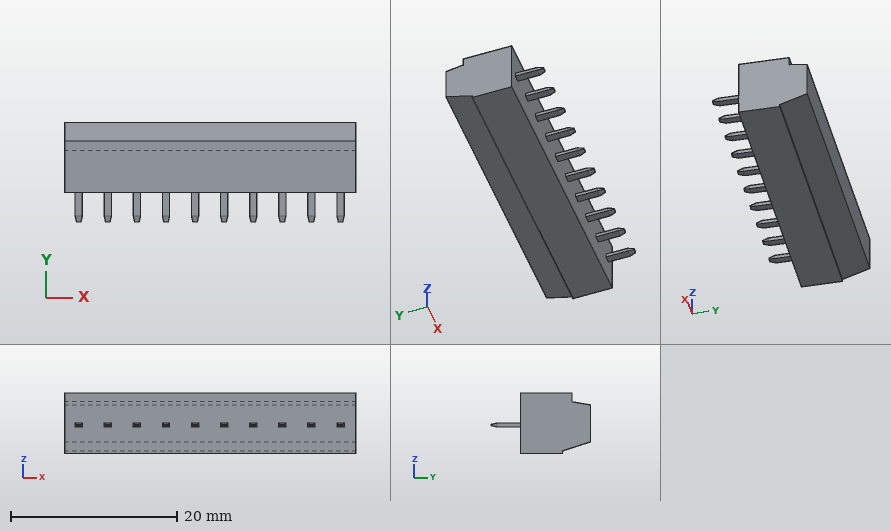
import cadquery as cq

LENGTH = 35.05
DEPTH = 8.45
HEIGHT = 7.29

TOP_STEP_DEPTH = 2.22
TOP_STEP_DROP = 1.05
REAR_TOP_DROP = 1.43

BOTTOM_STEP_DEPTH = 3.38
BOTTOM_STEP_RISE = 0.3
REAR_BOTTOM_RISE = 1.4

PIN_COUNT = 10
PIN_PITCH = 3.5
FIRST_PIN_X = 1.7
PIN_HEIGHT = 3.43
TOTAL_DEPTH = 12.01
PIN_LENGTH = TOTAL_DEPTH - DEPTH
PIN_WIDTH = 0.9
PIN_THICKNESS = 0.5
TIP_LENGTH = 0.75
TIP_WIDTH = 0.55
TIP_THICKNESS = 0.15


def make_housing():
    """Stepped profile in the YZ plane, extruded along X; front face at Y = 0."""
    profile = [
        (0, 0),
        (DEPTH - BOTTOM_STEP_DEPTH, 0),
        (DEPTH - BOTTOM_STEP_DEPTH, BOTTOM_STEP_RISE),
        (DEPTH, REAR_BOTTOM_RISE),
        (DEPTH, HEIGHT - REAR_TOP_DROP),
        (DEPTH - TOP_STEP_DEPTH, HEIGHT - TOP_STEP_DROP),
        (DEPTH - TOP_STEP_DEPTH, HEIGHT),
        (0, HEIGHT),
    ]
    return cq.Workplane("YZ").polyline(profile).close().extrude(LENGTH)


def make_pin(x):
    """Rectangular pin pointing to -Y, with a tip tapered on all four sides."""
    front_face = cq.Workplane("XZ", origin=(x, 0, PIN_HEIGHT))
    shank_length = PIN_LENGTH - TIP_LENGTH
    shank = front_face.rect(PIN_WIDTH, PIN_THICKNESS).extrude(shank_length)
    tip = (
        front_face.workplane(offset=shank_length)
        .rect(PIN_WIDTH, PIN_THICKNESS)
        .workplane(offset=TIP_LENGTH)
        .rect(TIP_WIDTH, TIP_THICKNESS)
        .loft(ruled=True)
    )
    return shank.union(tip)


result = make_housing()
for index in range(PIN_COUNT):
    result = result.union(make_pin(FIRST_PIN_X + index * PIN_PITCH))